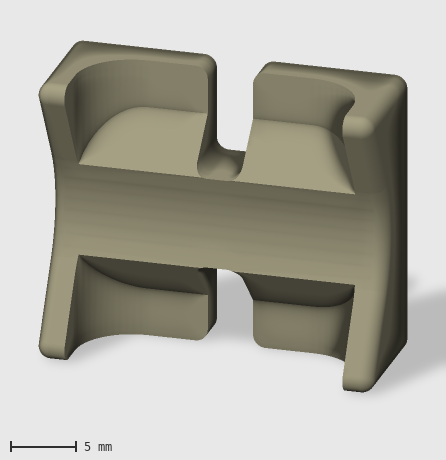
import cadquery as cq
import math

length = 26.67
depth = 9.87
height = 22.62
edge_radius = 1.0

cradle_radius = 8.0
flank_angle = math.radians(30)

end_wall = 2.3
back_wall = 2.48
pocket_radius = 4.48
floor_edge_z = 7.47

slot_width = 3.6
slot_floor_z = 3.65

half_height = height / 2

tip_tangent_y = -(depth - edge_radius + edge_radius * math.cos(flank_angle))
tip_tangent_z = half_height - edge_radius - edge_radius * math.sin(flank_angle)
arc_end_z = cradle_radius * math.sin(flank_angle)
arc_end_y = tip_tangent_y + (tip_tangent_z - arc_end_z) * math.tan(flank_angle)
valley_y = arc_end_y + cradle_radius * (1 - math.cos(flank_angle))
sharp_tip_y = tip_tangent_y - (half_height - tip_tangent_z) * math.tan(flank_angle)


def make_body():
    """Cradle profile run along X, rounded at the tips and around both ends."""
    body = (
        cq.Workplane("YZ", origin=(-length / 2, 0, 0))
        .moveTo(0, -half_height)
        .lineTo(sharp_tip_y, -half_height)
        .lineTo(arc_end_y, -arc_end_z)
        .threePointArc((valley_y, 0), (arc_end_y, arc_end_z))
        .lineTo(sharp_tip_y, half_height)
        .lineTo(0, half_height)
        .close()
        .extrude(length)
    )
    body = body.edges("|X and (not >Y)").edges("<Y").fillet(edge_radius)
    return body.faces("<X or >X").edges("not >Y").fillet(edge_radius)


def make_pocket():
    """Cutter for the upper pocket: rounded plan, trimmed by the sloping floor."""
    pocket_length = length - 2 * end_wall
    opening = 2 * depth
    plan = (
        cq.Workplane("XY")
        .center(0, -back_wall - opening / 2)
        .rect(pocket_length, opening)
        .extrude(half_height)
        .edges("|Z and >Y")
        .fillet(pocket_radius)
    )
    floor_front_y = -back_wall - floor_edge_z
    above_floor = (
        cq.Workplane("YZ", origin=(-length / 2, 0, 0))
        .moveTo(-back_wall, floor_edge_z)
        .lineTo(floor_front_y, 0)
        .lineTo(floor_front_y - depth, 0)
        .lineTo(floor_front_y - depth, half_height)
        .lineTo(-back_wall, half_height)
        .close()
        .extrude(length)
    )
    return plan.intersect(above_floor)


def make_slot():
    """Cutter for the upper slot: rounded floor corners and a flared mouth."""
    half_slot = slot_width / 2
    half_floor = half_slot - edge_radius
    half_mouth = half_slot + edge_radius
    bend = edge_radius * (1 - math.sqrt(0.5))
    floor_bend_z = slot_floor_z + edge_radius
    mouth_bend_z = half_height - edge_radius
    return (
        cq.Workplane("XZ")
        .moveTo(-half_floor, slot_floor_z)
        .lineTo(half_floor, slot_floor_z)
        .threePointArc((half_slot - bend, slot_floor_z + bend), (half_slot, floor_bend_z))
        .lineTo(half_slot, mouth_bend_z)
        .threePointArc((half_slot + bend, half_height - bend), (half_mouth, half_height))
        .lineTo(-half_mouth, half_height)
        .threePointArc((-half_slot - bend, half_height - bend), (-half_slot, mouth_bend_z))
        .lineTo(-half_slot, floor_bend_z)
        .threePointArc((-half_slot + bend, slot_floor_z + bend), (-half_floor, slot_floor_z))
        .close()
        .extrude(depth)
    )


result = make_body()
for cutter in (make_pocket(), make_slot()):
    result = result.cut(cutter).cut(cutter.mirror("XY"))